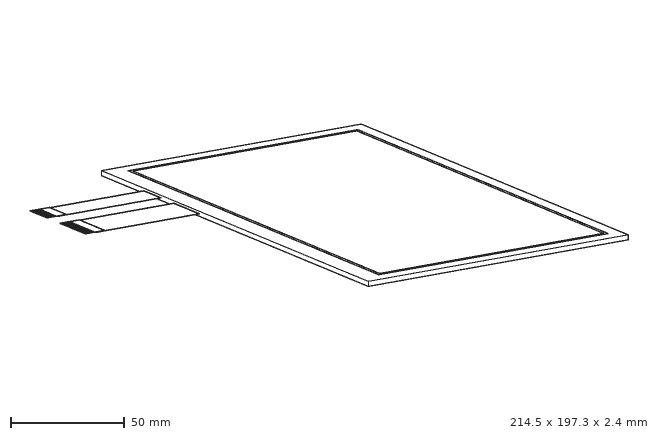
import cadquery as cq

panel_width = 214.5
panel_depth = 137.3
panel_thickness = 2.4

side_margin = 6.6
rear_margin = 6.2
front_margin = 9.9
groove_width = 1.5
groove_depth = 0.1

tails = [(34.3, 13.5, 26), (58.3, 20.4, 40)]
tail_reach = 60.0
tail_root = 4.3
film_bottom = 1.0
film_thickness = 0.2

stiffener_length = 10.0
stiffener_thickness = 0.17
contact_length = 5.1
contact_pitch = 0.5
contact_width = 0.3
contact_thickness = 0.05

tip_y = -tail_reach
film_top = film_bottom + film_thickness


def block(x, y, z, width, depth, height):
    """Box with its minimum corner at (x, y, z)."""
    return cq.Workplane("XY").box(width, depth, height, centered=False).translate((x, y, z))


def make_panel():
    panel = block(0, 0, 0, panel_width, panel_depth, panel_thickness)
    frame_width = panel_width - 2 * side_margin
    frame_depth = panel_depth - front_margin - rear_margin
    groove_floor = panel_thickness - groove_depth
    groove = block(side_margin, front_margin, groove_floor, frame_width, frame_depth, groove_depth)
    island = block(
        side_margin + groove_width,
        front_margin + groove_width,
        groove_floor,
        frame_width - 2 * groove_width,
        frame_depth - 2 * groove_width,
        groove_depth,
    )
    return panel.cut(groove.cut(island))


def make_tail(left, width, contact_count):
    film_length = tail_reach - contact_length + tail_root
    film = block(left, tip_y + contact_length, film_bottom, width, film_length, film_thickness)
    stiffener = block(left, tip_y, film_top, width, stiffener_length, stiffener_thickness)
    tail = film.union(stiffener)

    row_width = (contact_count - 1) * contact_pitch + contact_width
    first_contact = left + (width - row_width) / 2
    for i in range(contact_count):
        x = first_contact + i * contact_pitch
        z = film_top - contact_thickness
        tail = tail.union(block(x, tip_y, z, contact_width, contact_length, contact_thickness))
    return tail


result = make_panel()
for left, width, contact_count in tails:
    result = result.union(make_tail(left, width, contact_count))